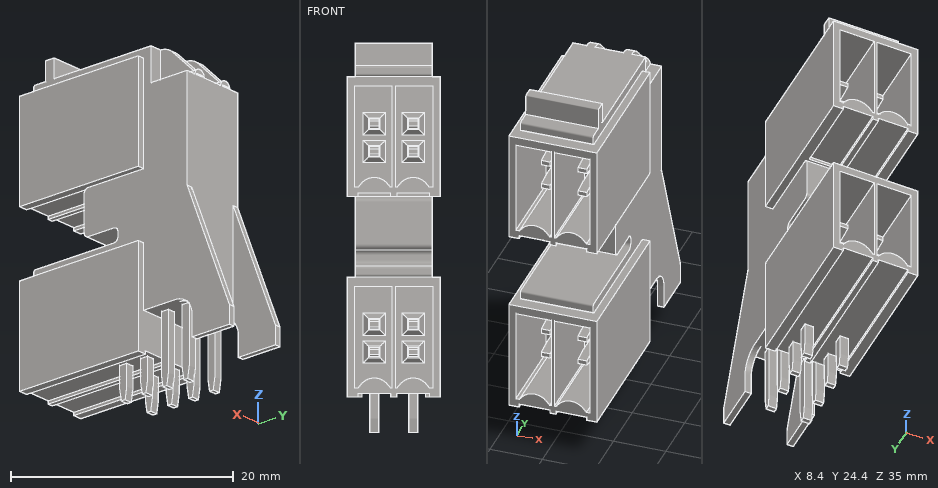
import cadquery as cq
import math


column_pitch = 3.5
row_pitch = 2.5
storey_pitch = 18.02
column_places = [-column_pitch / 2, column_pitch / 2]

shroud_width = 8.4
shroud_height = 10.78
shroud_length = 14.18
lower_shroud_z = 3.2
upper_shroud_z = lower_shroud_z + storey_pitch
side_wall = 0.65
end_wall = 0.85
partition = 0.28
cavity_depth = 8.0
cavity_width = (shroud_width - partition) / 2 - side_wall
cavity_height = shroud_height - 2 * end_wall

hump_width = 2.9
hump_height = 0.88
hump_flank_angle = 50.0
groove_width = 2.95
groove_height = 0.3

boss_base = 2.0
boss_tip = 1.05
boss_height = 1.0

core_width = 6.93
core_back_y = 19.35
core_bottom_z = 7.4
plate_thickness = 0.98
plate_front_y = 1.05
plate_edge_radius = 0.25
corner_radius = 0.5
lower_plate_z = lower_shroud_z + shroud_height + plate_thickness
upper_plate_z = upper_shroud_z + shroud_height + plate_thickness
slot_height = 1.47
slot_back_y = 11.1
web_front_y = 7.07
crown_back_y = 15.05
shelf_z = 29.35

latch_front_y = 2.45
latch_thickness = 1.05
latch_top_z = 35.0
latch_edge_radius = 0.1

ridge_radius = 0.63
gusset_width = 0.8
gusset_radius = 2.0

leg_thickness = 0.63
leg_back_y = 24.4
leg_front_y = 19.95
leg_slope_top_z = 18.15
leg_slope_bottom_z = 5.1
leg_arch_radius = 2.0

pin_size = 0.85
pin_tip_size = 0.45
pin_taper = 1.22
pin_nose_y = 3.0
row_height = 4.05
front_tail_y = 10.6


def side_profile(points, width):
    """Extrude a (Y, Z) outline to the given width, centred on X = 0."""
    return cq.Workplane("YZ").polyline(points).close().extrude(width / 2, both=True)


def block(width, length, height):
    """Box centred on X = 0 that starts at Y = 0 and stands on Z = 0."""
    return cq.Workplane("XY").box(width, length, height, centered=(True, False, False))


def round_edges(body, radius, places):
    """Round the X-direction edges of a body that pass through the given (Y, Z) places."""
    reach = 0.005
    for y, z in places:
        edge = cq.selectors.BoxSelector(
            (-shroud_width, y - reach, z - reach), (shroud_width, y + reach, z + reach)
        )
        body = body.edges(edge).fillet(radius)
    return body


def make_core():
    """Central body with both cover plates, the slot between the storeys and the rear shelf."""
    lower_top_z = lower_shroud_z + shroud_height
    upper_top_z = upper_shroud_z + shroud_height
    slot_top_z = lower_plate_z + slot_height
    core = side_profile(
        [
            (core_back_y, core_bottom_z),
            (slot_back_y, core_bottom_z),
            (slot_back_y, lower_top_z),
            (plate_front_y, lower_top_z),
            (plate_front_y, lower_plate_z),
            (slot_back_y, lower_plate_z),
            (slot_back_y, slot_top_z),
            (web_front_y, slot_top_z),
            (web_front_y, upper_shroud_z),
            (slot_back_y, upper_shroud_z),
            (slot_back_y, upper_top_z),
            (plate_front_y, upper_top_z),
            (plate_front_y, upper_plate_z),
            (crown_back_y, upper_plate_z),
            (crown_back_y, shelf_z),
            (core_back_y, shelf_z),
        ],
        core_width,
    )
    plate_edges = [
        (plate_front_y, z) for z in (lower_top_z, lower_plate_z, upper_top_z, upper_plate_z)
    ]
    slot_corners = [
        (slot_back_y, lower_plate_z),
        (slot_back_y, slot_top_z),
        (web_front_y, slot_top_z),
        (web_front_y, upper_shroud_z),
    ]
    core = round_edges(core, plate_edge_radius, plate_edges)
    return round_edges(core, corner_radius, slot_corners)


def make_latch_rib():
    """Cross rib on the upper plate with a lightly rounded front top edge."""
    height = latch_top_z - upper_plate_z
    rib = block(core_width, latch_thickness, height)
    rib = rib.translate((0, latch_front_y, upper_plate_z))
    return round_edges(rib, latch_edge_radius, [(latch_front_y, latch_top_z)])


def make_legs():
    """Two thin side plates that slope out behind the core and stand on the board."""
    blank = side_profile(
        [
            (crown_back_y, core_bottom_z),
            (leg_front_y, core_bottom_z),
            (leg_front_y, lower_shroud_z),
            (leg_back_y, lower_shroud_z),
            (leg_back_y, leg_slope_bottom_z),
            (core_back_y, leg_slope_top_z),
            (crown_back_y, leg_slope_top_z),
        ],
        core_width,
    )
    blank = round_edges(blank, leg_arch_radius, [(leg_front_y, core_bottom_z)])
    gap = cq.Workplane("XY").box(core_width - 2 * leg_thickness, 3 * leg_back_y, 3 * leg_slope_top_z)
    return blank.cut(gap)


def make_ridge(x):
    """Half-round ridge on the rear shelf."""
    length = core_back_y - crown_back_y
    ridge = cq.Workplane("XZ").circle(ridge_radius).extrude(-length)
    return ridge.translate((x, crown_back_y, shelf_z))


def make_gusset(x):
    """45-degree gusset from the shelf up to the crown, where an arc levels it out."""
    middle = math.radians(22.5)
    end = math.radians(45)
    arc_axis_z = upper_plate_z - gusset_radius
    arc_middle, arc_end = [
        (crown_back_y + gusset_radius * math.sin(angle), arc_axis_z + gusset_radius * math.cos(angle))
        for angle in (middle, end)
    ]
    foot = (arc_end[0] + arc_end[1] - shelf_z, shelf_z)
    gusset = (
        cq.Workplane("YZ")
        .moveTo(crown_back_y, shelf_z)
        .lineTo(crown_back_y, upper_plate_z)
        .threePointArc(arc_middle, arc_end)
        .lineTo(*foot)
        .close()
        .extrude(gusset_width / 2, both=True)
    )
    return gusset.translate((x, 0, 0))


def make_hump(x):
    """Floor hump: straight flanks that run smoothly into a round top."""
    angle = math.radians(hump_flank_angle)
    sine = math.sin(angle)
    cosine = math.cos(angle)
    radius = (hump_width / 2 * sine - hump_height * cosine) / (1 - cosine)
    flank_x = radius * sine
    flank_z = end_wall + hump_height - radius * (1 - cosine)
    hump = (
        cq.Workplane("XZ")
        .moveTo(-hump_width / 2, end_wall)
        .lineTo(-flank_x, flank_z)
        .threePointArc((0, end_wall + hump_height), (flank_x, flank_z))
        .lineTo(hump_width / 2, end_wall)
        .close()
        .extrude(-cavity_depth)
    )
    return hump.translate((x, 0, 0))


def make_shroud():
    """Box with two cavities, floor humps and tapered bosses; its bottom is at Z = 0."""
    shroud = block(shroud_width, shroud_length, shroud_height)
    boss_slope = math.degrees(math.atan((boss_base - boss_tip) / 2 / boss_height))
    for x in column_places:
        cavity_x = math.copysign((partition + cavity_width) / 2, x)
        cavity = block(cavity_width, cavity_depth, cavity_height)
        cavity = cavity.translate((cavity_x, 0, end_wall))
        shroud = shroud.cut(cavity.cut(make_hump(x)))
        for z in (row_height, row_height + row_pitch):
            boss = cq.Workplane("XZ").rect(boss_base, boss_base).extrude(boss_height, taper=boss_slope)
            shroud = shroud.union(boss.translate((x, cavity_depth, z)))
    return shroud


def cut_grooves(body, bottom_z, length):
    """Cut the shallow grooves that run back from the mouth under each cavity."""
    for x in column_places:
        groove = block(groove_width, length, groove_height)
        body = body.cut(groove.translate((x, 0, bottom_z)))
    return body


def make_pin(x, row_z, tail_y):
    """L-shaped square pin; both ends taper on two opposite sides only."""
    half = pin_size / 2
    tip = pin_tip_size / 2
    pin = side_profile(
        [
            (pin_nose_y, row_z + tip),
            (pin_nose_y + pin_taper, row_z + half),
            (tail_y + half, row_z + half),
            (tail_y + half, pin_taper),
            (tail_y + tip, 0),
            (tail_y - tip, 0),
            (tail_y - half, pin_taper),
            (tail_y - half, row_z - half),
            (pin_nose_y + pin_taper, row_z - half),
            (pin_nose_y, row_z - tip),
        ],
        pin_size,
    )
    return pin.translate((x, 0, 0))


row_levels = [
    storey_z + row_height + row * row_pitch
    for storey_z in (lower_shroud_z, upper_shroud_z)
    for row in range(2)
]
pins = [
    make_pin(x, row_z, front_tail_y + order * row_pitch)
    for order, row_z in enumerate(row_levels)
    for x in column_places
]

lower_shroud = cut_grooves(make_shroud(), 0, shroud_length).translate((0, 0, lower_shroud_z))
upper_shroud = cut_grooves(make_shroud(), 0, web_front_y).translate((0, 0, upper_shroud_z))
housing = make_core().union(make_latch_rib()).union(make_legs())
housing = housing.union(lower_shroud).union(upper_shroud)
for column_x in column_places:
    housing = housing.union(make_ridge(column_x)).union(make_gusset(column_x))
for pin in pins:
    housing = housing.cut(pin)

result = cq.Compound.makeCompound([housing.val(), *[pin.val() for pin in pins]])